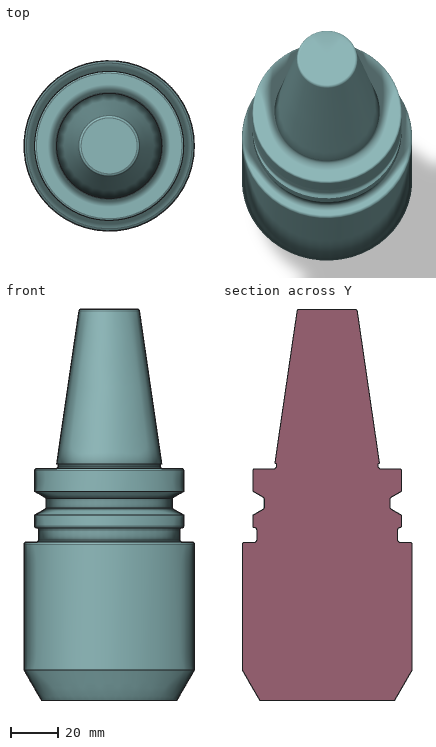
import cadquery as cq
import math


GAUGE_DIAMETER = 44.45
GAUGE_HEIGHT = 100.0
TAPER_LENGTH = 65.4
TAPER_RATIO = 7 / 24
TAPER_END_DIAMETER = GAUGE_DIAMETER - TAPER_RATIO * TAPER_LENGTH
TAPER_END_FILLET = 1.0
UNDERCUT_DIAMETER = 43.2
UNDERCUT_FILLET = 1.0

FLANGE_DIAMETER = 63.0
FLANGE_TOP = GAUGE_HEIGHT - 2.0
FLANGE_BOTTOM = GAUGE_HEIGHT - 27.0
FLANGE_FILLET = 0.75
GROOVE_CENTER = GAUGE_HEIGHT - 16.6
GROOVE_FLOOR_DIAMETER = 53.4
GROOVE_FLOOR_WIDTH = 4.5
GROOVE_FLANK_ANGLE = 30.0
GROOVE_FILLET = 0.5

NECK_DIAMETER = 59.8
NECK_FILLET = 0.8

BODY_DIAMETER = 72.0
BODY_TOP = 67.0
BODY_FILLET = 1.0
NOSE_DIAMETER = 57.0
NOSE_ANGLE = 30.0

EDGE_TOLERANCE = 0.01


def lathe(points):
    """Solid of revolution about Z from (radius, height) points, closed along the axis."""
    on_axis_start = (0, points[0][1])
    on_axis_end = (0, points[-1][1])
    profile = cq.Workplane("XZ").polyline([on_axis_start, *points, on_axis_end]).close()
    return profile.revolve(360, (0, 0, 0), (0, 1, 0))


def make_body():
    radius = BODY_DIAMETER / 2
    nose_radius = NOSE_DIAMETER / 2
    nose_height = (radius - nose_radius) / math.tan(math.radians(NOSE_ANGLE))
    return lathe([
        (nose_radius, 0),
        (radius, nose_height),
        (radius, BODY_TOP),
    ])


def make_neck():
    radius = NECK_DIAMETER / 2
    return lathe([(radius, BODY_TOP), (radius, FLANGE_BOTTOM)])


def make_flange():
    radius = FLANGE_DIAMETER / 2
    floor_radius = GROOVE_FLOOR_DIAMETER / 2
    floor_half = GROOVE_FLOOR_WIDTH / 2
    flank_rise = (radius - floor_radius) * math.tan(math.radians(GROOVE_FLANK_ANGLE))
    mouth_half = floor_half + flank_rise
    return lathe([
        (radius, FLANGE_BOTTOM),
        (radius, GROOVE_CENTER - mouth_half),
        (floor_radius, GROOVE_CENTER - floor_half),
        (floor_radius, GROOVE_CENTER + floor_half),
        (radius, GROOVE_CENTER + mouth_half),
        (radius, FLANGE_TOP),
    ])


def make_shank():
    gauge_radius = GAUGE_DIAMETER / 2
    undercut_radius = UNDERCUT_DIAMETER / 2
    shank_top = GAUGE_HEIGHT + TAPER_LENGTH
    end_radius = TAPER_END_DIAMETER / 2
    return lathe([
        (undercut_radius, FLANGE_TOP),
        (undercut_radius, GAUGE_HEIGHT),
        (gauge_radius, GAUGE_HEIGHT),
        (end_radius, shank_top),
    ])


def circle_edges(solid, diameter, height):
    """Circular edges about Z with the given diameter and height."""

    def matches(edge):
        same_radius = abs(edge.radius() - diameter / 2) < EDGE_TOLERANCE
        same_height = abs(edge.Center().z - height) < EDGE_TOLERANCE
        return same_radius and same_height

    return solid.edges("%CIRCLE").filter(matches)


def fillet_edges(solid):
    groove_floor_heights = [
        GROOVE_CENTER - GROOVE_FLOOR_WIDTH / 2,
        GROOVE_CENTER + GROOVE_FLOOR_WIDTH / 2,
    ]
    fillets = [
        (BODY_DIAMETER, [BODY_TOP], BODY_FILLET),
        (NECK_DIAMETER, [BODY_TOP, FLANGE_BOTTOM], NECK_FILLET),
        (FLANGE_DIAMETER, [FLANGE_BOTTOM, FLANGE_TOP], FLANGE_FILLET),
        (GROOVE_FLOOR_DIAMETER, groove_floor_heights, GROOVE_FILLET),
        (UNDERCUT_DIAMETER, [FLANGE_TOP], UNDERCUT_FILLET),
        (TAPER_END_DIAMETER, [GAUGE_HEIGHT + TAPER_LENGTH], TAPER_END_FILLET),
    ]
    for diameter, heights, fillet_radius in fillets:
        for height in heights:
            solid = circle_edges(solid, diameter, height).fillet(fillet_radius)
    return solid


holder = make_body().union(make_neck()).union(make_flange()).union(make_shank())
result = fillet_edges(holder)